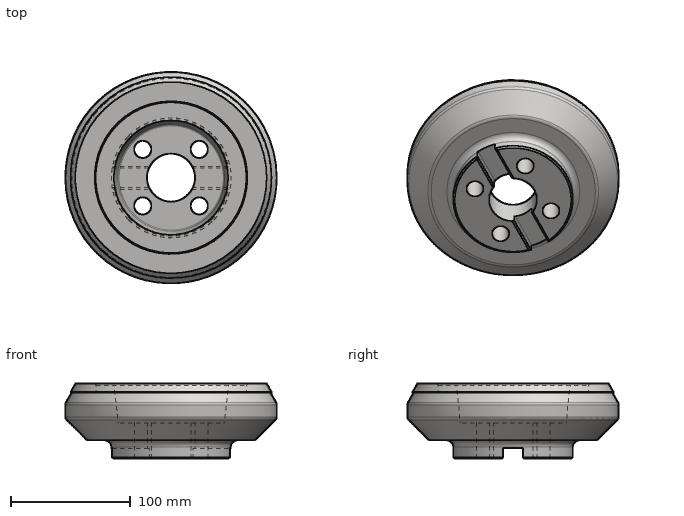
import cadquery as cq
import math

wheel_radius = 88.5
total_height = 63.0

neck_radius = 50.1
neck_chamfer = 1.5
shoulder_height = 15.4
neck_fillet = 5.5
rim_fillet = 3.9
rim_low = 33.6
rim_high = 46.2
shoulder_radius = wheel_radius - (rim_low - shoulder_height)
upper_slope = math.tan(math.radians(30))

seat_height = 55.2
ring_top_radius = 80.0
ring_lip_height = 0.7
ring_inner_radius = 63.0
ring_mouth_radius = 63.9
boss_drop = 1.6
boss_height = total_height - boss_drop
seat_radius = wheel_radius - upper_slope * (seat_height - rim_high)
ring_lip_top = seat_height + ring_lip_height
ring_base_radius = ring_top_radius + upper_slope * (total_height - ring_lip_top)

pocket_floor = 30.3
pocket_top_radius = 47.8
pocket_floor_radius = 44.5
pocket_fillet = 0.9
center_hole_radius = 20.0
bolt_hole_radius = 7.0
bolt_spacing = 47.3

slot_width = 16.5
slot_depth = 9.0
slot_fillet = 0.7


def revolve_profile(points):
    """Solid of revolution about Z from (radius, height) points."""
    return cq.Workplane("XZ").polyline(points).close().revolve(360, (0, 0), (0, 1))


def circle_edges(body, radius, height):
    """Circular edges of the body with the given radius and height."""
    size = 2 * radius
    tol = 0.2
    band = cq.selectors.BoxSelector(
        (-size, -size, height - tol), (size, size, height + tol), boundingbox=True
    )
    picked = [e for e in body.edges(band).vals() if abs(e.radius() - radius) < tol]
    return body.newObject(picked)


def make_blank():
    blank = revolve_profile([
        (0, 0),
        (neck_radius, 0),
        (neck_radius, shoulder_height),
        (shoulder_radius, shoulder_height),
        (wheel_radius, rim_low),
        (wheel_radius, rim_high),
        (seat_radius, seat_height),
        (ring_inner_radius, seat_height),
        (ring_inner_radius, boss_height),
        (0, boss_height),
    ])
    blank = circle_edges(blank, neck_radius, shoulder_height).fillet(neck_fillet)
    for radius, height in [
        (shoulder_radius, shoulder_height),
        (wheel_radius, rim_low),
        (wheel_radius, rim_high),
    ]:
        blank = circle_edges(blank, radius, height).fillet(rim_fillet)
    return blank


def cut_slot(body):
    slot = (
        cq.Workplane("XY")
        .box(2 * wheel_radius, slot_width, slot_depth, centered=(True, True, False))
        .edges("|X and >Z")
        .fillet(slot_fillet)
    )
    return body.cut(slot)


def make_pocket():
    pocket = revolve_profile([
        (0, pocket_floor),
        (pocket_floor_radius, pocket_floor),
        (pocket_top_radius, boss_height),
        (0, boss_height),
    ])
    return circle_edges(pocket, pocket_floor_radius, pocket_floor).fillet(pocket_fillet)


def make_holes():
    center = cq.Workplane("XY").circle(center_hole_radius).extrude(total_height)
    bolts = (
        cq.Workplane("XY")
        .rect(bolt_spacing, bolt_spacing, forConstruction=True)
        .vertices()
        .circle(bolt_hole_radius)
        .extrude(total_height)
    )
    return center, bolts


def make_wheel():
    wheel = cut_slot(make_blank())
    wheel = wheel.faces("<Z").edges().chamfer(neck_chamfer)
    wheel = wheel.cut(make_pocket())
    for hole in make_holes():
        wheel = wheel.cut(hole)
    return wheel


def make_ring():
    return revolve_profile([
        (ring_inner_radius, seat_height),
        (ring_base_radius, seat_height),
        (ring_base_radius, ring_lip_top),
        (ring_top_radius, total_height),
        (ring_mouth_radius, total_height),
        (ring_inner_radius, boss_height),
    ])


wheel = make_wheel()
ring = make_ring()
result = cq.Compound.makeCompound([wheel.val(), ring.val()])